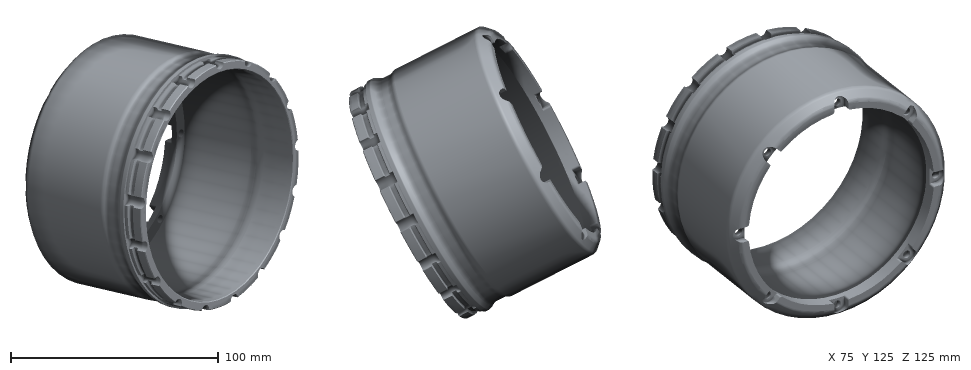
import cadquery as cq
import math

LENGTH = 75.0

BODY_RADIUS = 61.5
FRONT_CHAMFER = 4.7
FRONT_FILLET = 3.0

NECK_RADIUS = 60.4
NECK_STEP_X = 50.9
NECK_STEP_ANGLE = 25.0
NECK_STEP_FILLET = 4.0

FLANGE_RADIUS = 62.5
FLANGE_RISE_X = 59.2
FLANGE_RISE_ANGLE = 31.0
FLANGE_RISE_FILLET = 5.0
FLANGE_EDGE_FILLET = 1.0
FLANGE_END_X = 65.0

COLLAR_RADIUS = BODY_RADIUS
REAR_EDGE_CHAMFER = 0.4
GROOVE_START_X = 66.9
GROOVE_WIDTH = 3.2
GROOVE_DEPTH = 1.5
GROOVE_TAPER = 0.5
NOTCH_COUNT = 17
NOTCH_RADIUS = 2.9

LIP_RADIUS = 52.2
LIP_THICKNESS = 7.1
CHAMBER_RADIUS = 58.4
REAR_BORE_RADIUS = 57.1
BORE_STEP_X = 50.0
BORE_STEP_ANGLE = 15.0
BORE_STEP_FILLET = 15.0

SEAT_COUNT = 8
SEAT_CIRCLE_RADIUS = 55.5
SEAT_WIDTH = 8.0
SEAT_DEPTH = 4.0
SEAT_MOUTH_FILLET = 1.0
SCREW_HOLE_DIAMETER = 4.0

TOLERANCE = 0.01


def cone_length(radius_change, angle_deg):
    """Axial length of a cone with the given radius change and slope to the axis."""
    return radius_change / math.tan(math.radians(angle_deg))


def unit_vector(start, end):
    length = math.dist(start, end)
    return ((end[0] - start[0]) / length, (end[1] - start[1]) / length)


def rounded_profile(corners):
    """Closed (x, radius) outline; each corner is (x, radius, fillet), a zero fillet staying sharp.

    The first corner must be sharp.
    """
    points = [(x, radius) for x, radius, _ in corners]
    profile = cq.Workplane("XY").moveTo(*points[0])
    for i in range(1, len(corners)):
        corner = points[i]
        fillet = corners[i][2]
        if fillet == 0:
            profile = profile.lineTo(*corner)
            continue
        back = unit_vector(corner, points[i - 1])
        ahead = unit_vector(corner, points[(i + 1) % len(points)])
        half_angle = math.acos(back[0] * ahead[0] + back[1] * ahead[1]) / 2
        tangent_length = fillet / math.tan(half_angle)
        inward = unit_vector((0, 0), (back[0] + ahead[0], back[1] + ahead[1]))
        mid_distance = fillet / math.sin(half_angle) - fillet
        arc_start = (corner[0] + back[0] * tangent_length, corner[1] + back[1] * tangent_length)
        arc_mid = (corner[0] + inward[0] * mid_distance, corner[1] + inward[1] * mid_distance)
        arc_end = (corner[0] + ahead[0] * tangent_length, corner[1] + ahead[1] * tangent_length)
        profile = profile.lineTo(*arc_start).threePointArc(arc_mid, arc_end)
    return profile.close()


def make_turned_ring():
    neck_start_x = NECK_STEP_X + cone_length(BODY_RADIUS - NECK_RADIUS, NECK_STEP_ANGLE)
    flange_start_x = FLANGE_RISE_X + cone_length(FLANGE_RADIUS - NECK_RADIUS, FLANGE_RISE_ANGLE)
    rear_bore_start_x = BORE_STEP_X + cone_length(CHAMBER_RADIUS - REAR_BORE_RADIUS, BORE_STEP_ANGLE)
    groove_end_x = GROOVE_START_X + GROOVE_WIDTH
    groove_radius = COLLAR_RADIUS - GROOVE_DEPTH

    outside = [
        (0, LIP_RADIUS, 0),
        (0, BODY_RADIUS - FRONT_CHAMFER, FRONT_FILLET),
        (FRONT_CHAMFER, BODY_RADIUS, FRONT_FILLET),
        (NECK_STEP_X, BODY_RADIUS, NECK_STEP_FILLET),
        (neck_start_x, NECK_RADIUS, NECK_STEP_FILLET),
        (FLANGE_RISE_X, NECK_RADIUS, FLANGE_RISE_FILLET),
        (flange_start_x, FLANGE_RADIUS, FLANGE_EDGE_FILLET),
        (FLANGE_END_X, FLANGE_RADIUS, 0),
        (FLANGE_END_X, COLLAR_RADIUS, 0),
        (GROOVE_START_X, COLLAR_RADIUS, 0),
        (GROOVE_START_X + GROOVE_TAPER, groove_radius, 0),
        (groove_end_x - GROOVE_TAPER, groove_radius, 0),
        (groove_end_x, COLLAR_RADIUS, 0),
        (LENGTH - REAR_EDGE_CHAMFER, COLLAR_RADIUS, 0),
        (LENGTH, COLLAR_RADIUS - REAR_EDGE_CHAMFER, 0),
    ]
    bore = [
        (LENGTH, REAR_BORE_RADIUS + REAR_EDGE_CHAMFER, 0),
        (LENGTH - REAR_EDGE_CHAMFER, REAR_BORE_RADIUS, 0),
        (rear_bore_start_x, REAR_BORE_RADIUS, BORE_STEP_FILLET),
        (BORE_STEP_X, CHAMBER_RADIUS, BORE_STEP_FILLET),
        (LIP_THICKNESS, CHAMBER_RADIUS, 0),
        (LIP_THICKNESS, LIP_RADIUS, 0),
    ]
    return rounded_profile(outside + bore).revolve(360, (0, 0, 0), (1, 0, 0))


def repeat_around_axis(shape, count):
    """Compound of equally spaced copies about the X axis, the first one at +Z."""
    copies = [shape.rotate((0, 0, 0), (1, 0, 0), 360 * i / count).val() for i in range(count)]
    return cq.Workplane(cq.Compound.makeCompound(copies))


def make_collar_notch():
    """Round axial groove across the collar, centred on its outer surface."""
    return (
        cq.Workplane("YZ", origin=(FLANGE_END_X, 0, 0))
        .center(0, COLLAR_RADIUS)
        .circle(NOTCH_RADIUS)
        .extrude(LENGTH - FLANGE_END_X)
    )


def make_screw_seat():
    """U-shaped pocket, open to the bore, with a screw hole through the lip."""
    slot_length = LIP_RADIUS / 2
    round_end = (
        cq.Workplane("YZ")
        .center(0, SEAT_CIRCLE_RADIUS)
        .circle(SEAT_WIDTH / 2)
        .extrude(SEAT_DEPTH)
    )
    slot = (
        cq.Workplane("YZ")
        .center(0, SEAT_CIRCLE_RADIUS - slot_length / 2)
        .rect(SEAT_WIDTH, slot_length)
        .extrude(SEAT_DEPTH)
    )
    hole = (
        cq.Workplane("YZ")
        .center(0, SEAT_CIRCLE_RADIUS)
        .circle(SCREW_HOLE_DIAMETER / 2)
        .extrude(LIP_THICKNESS)
    )
    return round_end.union(slot).union(hole)


def is_seat_mouth_edge(edge):
    """True for the edges where the side walls of a seat meet the bore of the lip."""
    center = edge.Center()
    on_lip_bore = abs(math.hypot(center.y, center.z) - LIP_RADIUS) < TOLERANCE
    return on_lip_bore and abs(center.x - SEAT_DEPTH / 2) < TOLERANCE


result = (
    make_turned_ring()
    .cut(repeat_around_axis(make_collar_notch(), NOTCH_COUNT))
    .cut(repeat_around_axis(make_screw_seat(), SEAT_COUNT))
    .edges("|X")
    .filter(is_seat_mouth_edge)
    .fillet(SEAT_MOUTH_FILLET)
)